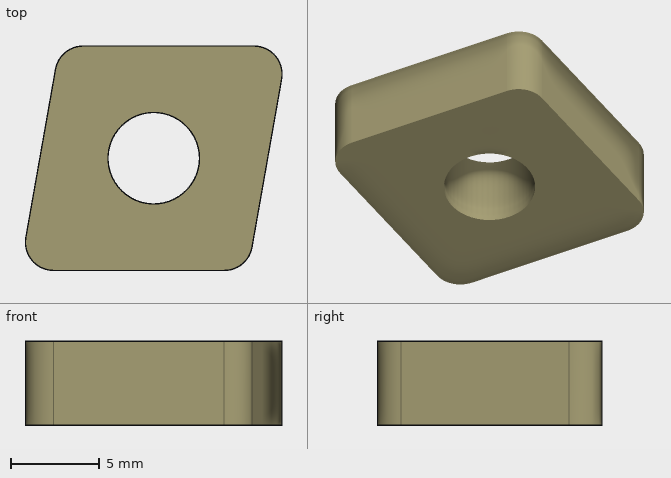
import cadquery as cq
import math

inscribed_circle = 12.7
corner_angle = 80.0
corner_radius = 1.6
thickness = 4.76
hole_diameter = 5.16

angle = math.radians(corner_angle)
half_side = inscribed_circle / math.sin(angle) / 2
half_shift = inscribed_circle / math.tan(angle) / 2
half_height = inscribed_circle / 2


def rhombic_body():
    """Rhombic prism with its four upright edges rounded."""
    corners = [
        (-half_side - half_shift, -half_height),
        (half_side - half_shift, -half_height),
        (half_side + half_shift, half_height),
        (-half_side + half_shift, half_height),
    ]
    prism = cq.Workplane("XY").polyline(corners).close().extrude(thickness)
    return prism.edges("|Z").fillet(corner_radius)


def clamping_hole():
    """Cylinder that pierces the full thickness at the centre."""
    return cq.Workplane("XY").circle(hole_diameter / 2).extrude(thickness)


result = rhombic_body().cut(clamping_hole())